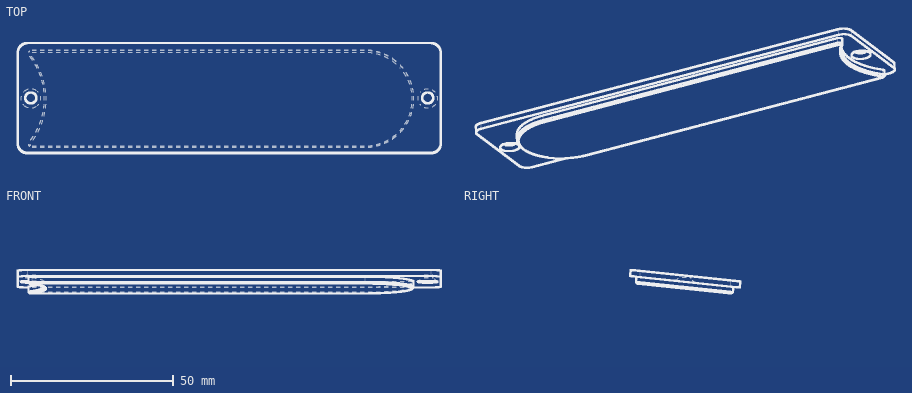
import cadquery as cq
import math

length = 130.6
width = 34.1
plate_thickness = 2.0
corner_radius = 3.0
tilt_angle = 6.0

side_inset = 2.0
pad_height = 2.1
pad_width = width - 2 * side_inset
pad_end_inset = 8.4
hollow_inset = 8.2
hollow_radius = 21.5
pad_tip_radius = 1.0
pad_chamfer = 0.5

hole_diameter = 3.4
countersink_diameter = 6.0
countersink_angle = 90.0
hole_inset = 4.0


def make_plate():
    """Rounded rectangle whose underside lies at Z = 0."""
    blank = cq.Workplane("XY").rect(length, width).extrude(plate_thickness)
    return blank.edges("|Z").fillet(corner_radius)


def make_pad():
    """Pad with a half-round right end and a hollow left end, below Z = 0."""
    half = pad_width / 2
    round_end = length / 2 - pad_end_inset
    hollow_bottom = -length / 2 + hollow_inset
    hollow_depth = hollow_radius - math.sqrt(hollow_radius**2 - half**2)
    left_corner = hollow_bottom - hollow_depth
    outline = (
        cq.Workplane("XY")
        .moveTo(left_corner, -half)
        .lineTo(round_end - half, -half)
        .threePointArc((round_end, 0), (round_end - half, half))
        .lineTo(left_corner, half)
        .threePointArc((hollow_bottom, 0), (left_corner, -half))
        .close()
    )
    pad = outline.extrude(-pad_height)
    pad = pad.edges("|Z and <X").fillet(pad_tip_radius)
    return pad.faces("<Z").chamfer(pad_chamfer)


def drill_holes(body):
    """Drill the two plate holes, countersunk from the plate underside."""
    hole_offset = length / 2 - hole_inset
    return (
        body.copyWorkplane(cq.Workplane("XY").transformed(rotate=(180, 0, 0)))
        .pushPoints([(-hole_offset, 0), (hole_offset, 0)])
        .cskHole(hole_diameter, countersink_diameter, countersink_angle)
    )


plate = drill_holes(make_plate())
body = plate.union(make_pad())
result = body.rotate((0, 0, 0), (1, 0, 0), -tilt_angle)